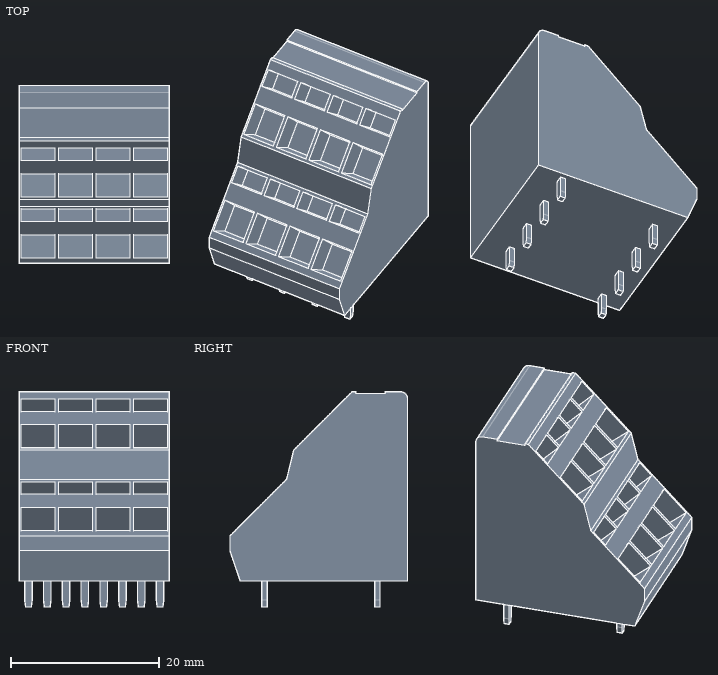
import cadquery as cq
import math


pole_count = 4
housing_width = 20.3
housing_depth = 24.05
housing_height = 25.6
overall_height = 29.1
pole_pitch = housing_width / pole_count

rear_edge_radius = 1.0
groove_start = 3.05
groove_end = 7.0
groove_depth = 0.23

upper_slope_drop = 7.92
upper_slope_end = 15.42
lower_slope_top = 13.75
lower_slope_bottom = 6.1
front_face_bottom = 4.13
underside_depth = 22.65

lower_slope_start = housing_depth - (lower_slope_top - lower_slope_bottom)
upper_slope_start = upper_slope_end - upper_slope_drop
upper_slope_bottom = housing_height - upper_slope_drop

pocket_width = 4.6
pocket_depth = 4.05
small_pocket_length = 2.4
large_pocket_length = 4.42
large_pocket_taper = 0.35
pocket_gap = 2.53
pocket_margin = 0.47
pocket_overshoot = 0.3

pin_count = 2 * pole_count
pin_pitch = pole_pitch / 2
pin_length = overall_height - housing_height
pin_width = 1.05
pin_thickness = 0.75
pin_tip_length = 0.93
pin_tip_width = 0.81
rear_row_depth = 4.1
row_spacing = 15.25


def centred_positions(count, pitch):
    return [(index - (count - 1) / 2) * pitch for index in range(count)]


def extrude_across(outline, width, x_centre):
    """Extrude an outline of (depth from rear, height) points, centred on x_centre."""
    points = [(-depth, height) for depth, height in outline]
    prism = cq.Workplane("YZ").polyline(points).close().extrude(width / 2, both=True)
    return prism.translate((x_centre, 0, 0))


def make_pocket_cutter(slope_top, start, length, taper, x_centre):
    """Cutter for a pocket that starts the given distance down a slope from its top point."""
    lip_taper = taper * pocket_overshoot / pocket_depth
    section = [
        (start - lip_taper, -pocket_overshoot),
        (start + taper, pocket_depth),
        (start + length - taper, pocket_depth),
        (start + length + lip_taper, -pocket_overshoot),
    ]
    diagonal = math.sqrt(0.5)
    outline = [
        (slope_top[0] + (along - inward) * diagonal, slope_top[1] - (along + inward) * diagonal)
        for along, inward in section
    ]
    return extrude_across(outline, pocket_width, x_centre)


def make_housing():
    outline = [
        (0, 0),
        (0, housing_height),
        (groove_start, housing_height),
        (groove_start, housing_height - groove_depth),
        (groove_end, housing_height - groove_depth),
        (groove_end, housing_height),
        (upper_slope_start, housing_height),
        (upper_slope_end, upper_slope_bottom),
        (lower_slope_start, lower_slope_top),
        (housing_depth, lower_slope_bottom),
        (housing_depth, front_face_bottom),
        (underside_depth, 0),
    ]
    housing = extrude_across(outline, housing_width, 0)

    rear_top_edge = cq.selectors.NearestToPointSelector((0, 0, housing_height))
    housing = housing.edges(rear_top_edge).fillet(rear_edge_radius)

    large_pocket_offset = small_pocket_length + pocket_gap
    pocket_group_length = large_pocket_offset + large_pocket_length
    upper_slope_length = upper_slope_drop * math.sqrt(2)
    slopes = [
        ((upper_slope_start, housing_height), upper_slope_length - pocket_margin - pocket_group_length),
        ((lower_slope_start, lower_slope_top), pocket_margin),
    ]
    for slope_top, group_start in slopes:
        for x in centred_positions(pole_count, pole_pitch):
            small = make_pocket_cutter(slope_top, group_start, small_pocket_length, 0, x)
            large_start = group_start + large_pocket_offset
            large = make_pocket_cutter(slope_top, large_start, large_pocket_length, large_pocket_taper, x)
            housing = housing.cut(small).cut(large)
    return housing


def make_pin(x_centre, depth):
    """Flat pin hanging from the underside, narrowing in width towards its tip."""
    tip_top = pin_tip_length - pin_length
    outline = [
        (-pin_width / 2, 0),
        (-pin_width / 2, tip_top),
        (-pin_tip_width / 2, -pin_length),
        (pin_tip_width / 2, -pin_length),
        (pin_width / 2, tip_top),
        (pin_width / 2, 0),
    ]
    pin = cq.Workplane("XZ").polyline(outline).close().extrude(pin_thickness / 2, both=True)
    return pin.translate((x_centre, -depth, 0))


housing = make_housing()

pins = []
for index, x in enumerate(centred_positions(pin_count, pin_pitch)):
    in_front_row = index % 2 == 1
    row_depth = rear_row_depth + row_spacing if in_front_row else rear_row_depth
    pins.append(make_pin(x, row_depth))

result = cq.Compound.makeCompound([housing.val(), *[pin.val() for pin in pins]])